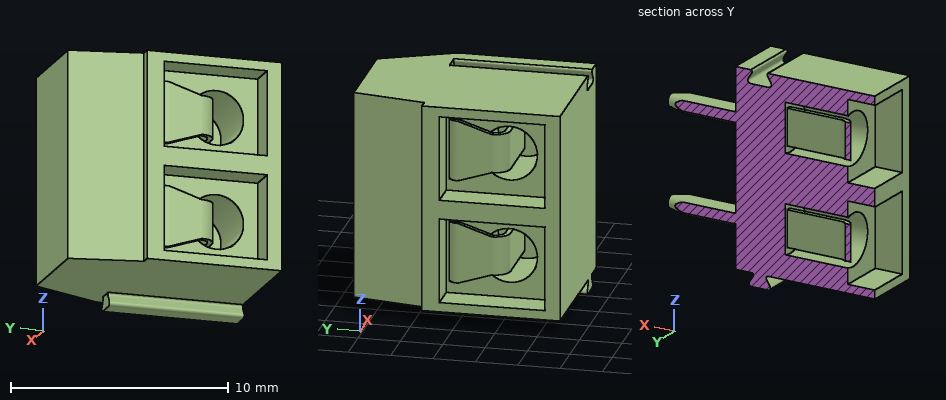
import cadquery as cq
import math


pole_pitch = 5.0
pole_count = 2
body_height = 10.0
body_length = 7.52
body_depth = 10.0
shoulder_y = 6.53
front_step = 0.48
top_front_x = 1.11
top_back_x = 5.89
pole_levels = [body_height / 2 + (i - (pole_count - 1) / 2) * pole_pitch for i in range(pole_count)]

pin_y = 2.71
pin_radius = 0.5
pin_tip_radius = 0.34
pin_taper = 0.84
pin_end_x = 11.2

pocket_y_min = 0.72
pocket_y_max = 5.7
pocket_height = 4.08
pocket_depth = 1.45
wire_hole_radius = 1.31
wire_hole_depth = 3.36

guard_thickness = 0.25
guard_edge_y = 5.57
guard_flat_y = 5.1
guard_bend_y = 3.48
guard_leg_y = 2.77
guard_wide = 2.91
guard_narrow = 1.86

dovetail_x = 6.2
tongue_height = 0.68
waist_depth = 0.06
mouth_flare = 0.11
waist_half_width = 0.31
tip_half_width = 0.7
dovetail_clearance = 0.03
waist_round = 0.1
tip_round = 0.15


def make_housing():
    outline = [
        (0, 0),
        (body_length, 0),
        (body_length, shoulder_y),
        (top_back_x, body_depth),
        (top_front_x, body_depth),
        (front_step, shoulder_y),
        (0, shoulder_y),
    ]
    return cq.Workplane("XY").polyline(outline).close().extrude(body_height)


def make_dovetail(top_z, clearance):
    """Dovetail bar hanging below top_z, widened on each side by the clearance."""
    waist = waist_half_width + clearance
    tip = tip_half_width + clearance
    half = [
        (waist + mouth_flare, 0),
        (waist, -waist_depth),
        (tip, -tongue_height),
    ]
    outline = half + [(-x, z) for x, z in reversed(half)]
    bar = cq.Workplane("XZ").polyline(outline).close().extrude(-shoulder_y)
    long_edges = bar.edges("|Y")
    waist_edges = long_edges.filter(lambda e: abs(e.Center().z + waist_depth) < waist_depth / 2)
    bar = waist_edges.fillet(waist_round)
    bar = bar.faces("<Z").edges("|Y").fillet(tip_round)
    return bar.translate((dovetail_x, 0, top_z))


def make_pin(z):
    half_section = [
        (body_length, 0),
        (body_length, -pin_radius),
        (pin_end_x - pin_taper, -pin_radius),
        (pin_end_x, -pin_tip_radius),
        (pin_end_x, 0),
    ]
    pin = cq.Workplane("XY").polyline(half_section).close().revolve(360, (0, 0, 0), (1, 0, 0))
    return pin.translate((0, pin_y, z))


def make_wire_entry(z):
    """Rectangular pocket with a round blind hole in its floor."""
    pocket_width = pocket_y_max - pocket_y_min
    pocket = cq.Workplane("XY").box(pocket_depth, pocket_width, pocket_height, centered=(False, False, True))
    pocket = pocket.translate((0, pocket_y_min, z))
    hole = cq.Workplane("YZ").center(pin_y, z).circle(wire_hole_radius).extrude(pocket_depth + wire_hole_depth)
    return pocket.union(hole)


def make_wire_guard(z):
    floor_x = pocket_depth
    face_x = floor_x - guard_thickness
    hole_end_x = floor_x + wire_hole_depth
    bend_radius = guard_bend_y - guard_leg_y
    inner_radius = bend_radius - guard_thickness
    bend_x = face_x + bend_radius
    diagonal = math.sqrt(0.5)

    edge_width = guard_edge_y - guard_flat_y
    edge_radius = (edge_width**2 + guard_thickness**2) / (2 * guard_thickness)
    half_angle = math.asin(edge_width / edge_radius) / 2
    edge_mid = (
        face_x + edge_radius * (1 - math.cos(half_angle)),
        guard_flat_y + edge_radius * math.sin(half_angle),
    )

    section = (
        cq.Workplane("XY")
        .moveTo(floor_x, guard_edge_y)
        .threePointArc(edge_mid, (face_x, guard_flat_y))
        .lineTo(face_x, guard_bend_y)
        .threePointArc(
            (bend_x - bend_radius * diagonal, guard_bend_y - bend_radius * diagonal),
            (bend_x, guard_leg_y),
        )
        .lineTo(hole_end_x, guard_leg_y)
        .lineTo(hole_end_x, guard_leg_y + guard_thickness)
        .lineTo(bend_x, guard_leg_y + guard_thickness)
        .threePointArc(
            (bend_x - inner_radius * diagonal, guard_bend_y - inner_radius * diagonal),
            (floor_x, guard_bend_y),
        )
        .close()
        .extrude(guard_wide / 2, both=True)
    )
    half = [
        (guard_edge_y, guard_wide / 2),
        (guard_flat_y, guard_wide / 2),
        (guard_bend_y, guard_narrow / 2),
        (guard_leg_y, guard_narrow / 2),
    ]
    outline = half + [(y, -width) for y, width in reversed(half)]
    silhouette = cq.Workplane("YZ").polyline(outline).close().extrude(hole_end_x)
    return section.intersect(silhouette).translate((0, 0, z))


result = make_housing().cut(make_dovetail(body_height, dovetail_clearance))
result = result.union(make_dovetail(0, 0))
for level in pole_levels:
    result = result.cut(make_wire_entry(level))
    result = result.union(make_wire_guard(level))
    result = result.union(make_pin(level))